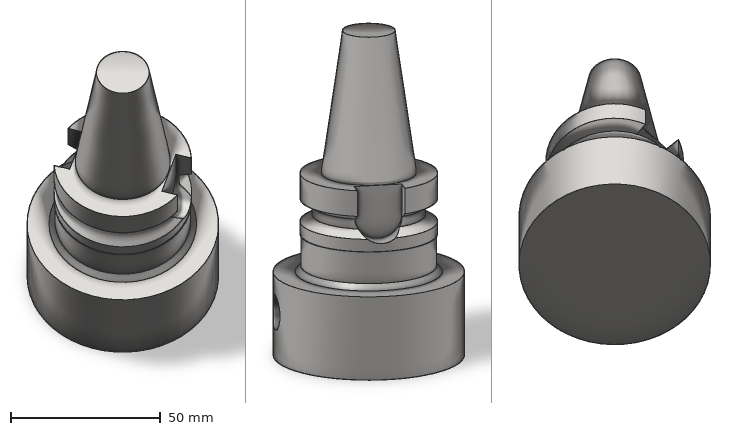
import cadquery as cq

collar_diameter = 64.0
foot_diameter = 49.2
neck_diameter = 45.4
flange_diameter = 46.0
groove_diameter = 37.9
taper_base_diameter = 31.7

total_height = 112.4
collar_top = 28.9
foot_top = 30.9
neck_top = 41.9
lower_flange_top = 46.3
groove_bottom = 48.7
groove_top = 52.0
upper_flange_bottom = 54.2
flange_top = 63.1
taper_base = 64.0

taper_ratio = 7 / 24
taper_top_diameter = taper_base_diameter - (total_height - taper_base) * taper_ratio

slot_width = 16.2
slot_floor_distance = 16.1
slot_bottom = 44.7

screw_diameter = 12.3
screw_height = 16.5
screw_depth = screw_diameter


def turned_body():
    """Revolve the half profile of the holder about Z."""
    steps = [
        (collar_diameter, 0),
        (collar_diameter, collar_top),
        (foot_diameter, collar_top),
        (neck_diameter, foot_top),
        (neck_diameter, neck_top),
        (flange_diameter, neck_top),
        (flange_diameter, lower_flange_top),
        (groove_diameter, groove_bottom),
        (groove_diameter, groove_top),
        (flange_diameter, upper_flange_bottom),
        (flange_diameter, flange_top),
        (taper_base_diameter, flange_top),
        (taper_base_diameter, taper_base),
        (taper_top_diameter, total_height),
    ]
    outline = [(diameter / 2, height) for diameter, height in steps]
    profile = cq.Workplane("XZ").polyline([(0, 0)] + outline + [(0, total_height)]).close()
    return profile.revolve(360, (0, 0, 0), (0, 1, 0))


def drive_slot(side):
    """Cutter for the slot on the +X (side = 1) or -X (side = -1) flank."""
    half_width = slot_width / 2
    arc_center = slot_bottom + half_width
    depth = flange_diameter / 2 - slot_floor_distance
    return (
        cq.Workplane("YZ", origin=(side * slot_floor_distance, 0, 0))
        .moveTo(-half_width, flange_top)
        .lineTo(-half_width, arc_center)
        .threePointArc((0, slot_bottom), (half_width, arc_center))
        .lineTo(half_width, flange_top)
        .close()
        .extrude(side * depth)
    )


def screw_hole():
    """Cutter for the radial hole, drilled inward from the +Y side."""
    drill_start = cq.Workplane("XZ", origin=(0, collar_diameter / 2, screw_height))
    return drill_start.circle(screw_diameter / 2).extrude(screw_depth)


result = turned_body()
for side in (-1, 1):
    result = result.cut(drive_slot(side))
result = result.cut(screw_hole())